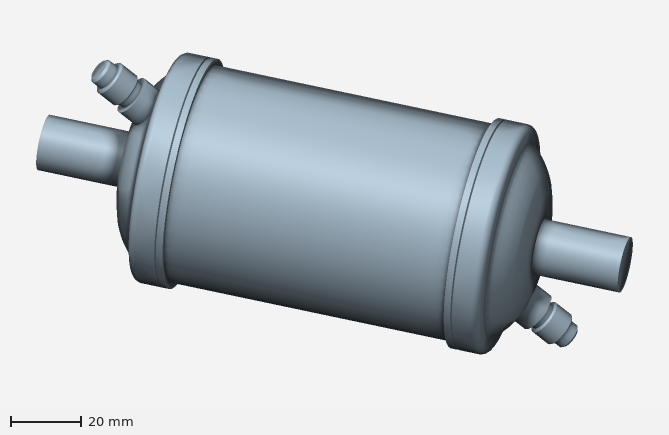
import cadquery as cq
import math

overall_length = 172.0
pipe_radius = 8.0
shell_radius = 31.6

cap_radius = 33.5
ring_start = 41.6
seam_position = 43.5
seam_width = 0.5
seam_depth = 0.5
shoulder_position = 52.1
shoulder_fillet = 2.2
dome_position = 60.7
dome_flat_radius = 10.8
dome_arc_radius = 22.4
dome_slope = math.radians(43)
cone_end_radius = 27.7
root_fillet = 3.3

fitting_angle = 40.0
fitting_tip_x = 69.7
fitting_tip_z = 36.6
tip_length = 3.6
tip_radius = 4.0
tip_chamfer = 0.7
thread_length = 6.9
thread_radius = 5.3
thread_chamfer = 0.5
neck_length = 2.0
neck_radius = 4.3
base_length = 10.3
base_radius = 6.0
base_across_flats = 11.0


def arc_point(center, radius, angle):
    """Point on a circle, with the angle measured from the X axis."""
    return (center[0] + radius * math.cos(angle), center[1] + radius * math.sin(angle))


def make_cap():
    """Revolve the +X end cap: seam ring, rounded shoulder and domed end."""
    seam_end = seam_position + seam_width
    shoulder_center = (shoulder_position - shoulder_fillet, cap_radius - shoulder_fillet)
    shoulder_middle = arc_point(shoulder_center, shoulder_fillet, math.radians(45))

    dome_center = (dome_position - dome_arc_radius, dome_flat_radius)
    dome_start = arc_point(dome_center, dome_arc_radius, dome_slope)
    dome_middle = arc_point(dome_center, dome_arc_radius, dome_slope / 2)

    cone_length = (cone_end_radius - dome_start[1]) * math.tan(dome_slope)
    cone_end = (dome_start[0] - cone_length, cone_end_radius)
    root_center = arc_point(cone_end, root_fillet, dome_slope)
    root_middle = arc_point(root_center, root_fillet, math.pi + dome_slope / 2)
    root_end = arc_point(root_center, root_fillet, math.pi)

    return (
        cq.Workplane("XY")
        .moveTo(0, 0)
        .lineTo(0, shell_radius)
        .lineTo(ring_start, shell_radius)
        .lineTo(ring_start, cap_radius)
        .lineTo(seam_position, cap_radius)
        .lineTo(seam_position + seam_width / 2, cap_radius - seam_depth)
        .lineTo(seam_end, cap_radius)
        .lineTo(shoulder_center[0], cap_radius)
        .threePointArc(shoulder_middle, (shoulder_position, shoulder_center[1]))
        .lineTo(*root_end)
        .threePointArc(root_middle, cone_end)
        .lineTo(*dome_start)
        .threePointArc(dome_middle, (dome_position, dome_flat_radius))
        .lineTo(dome_position, 0)
        .close()
        .revolve(360, (0, 0, 0), (1, 0, 0))
    )


def make_fitting():
    """Build the lower fitting at the +X end, working back from its tip into the cap."""
    lean = math.radians(fitting_angle)
    tip_plane = cq.Plane(
        origin=(fitting_tip_x, 0, -fitting_tip_z),
        xDir=(0, 1, 0),
        normal=(-math.cos(lean), 0, math.sin(lean)),
    )
    thread_start = tip_length
    neck_start = thread_start + thread_length
    base_start = neck_start + neck_length

    def section(start, length, radius):
        return cq.Workplane(tip_plane).workplane(offset=start).circle(radius).extrude(length)

    tip = section(0, tip_length, tip_radius)
    tip = tip.faces(cq.DirectionMinMaxSelector(tip_plane.zDir, False)).chamfer(tip_chamfer)
    thread = section(thread_start, thread_length, thread_radius)
    thread = thread.faces(cq.ParallelDirSelector(tip_plane.zDir)).chamfer(thread_chamfer)
    neck = section(neck_start, neck_length, neck_radius)
    flats = (
        cq.Workplane(tip_plane)
        .workplane(offset=base_start)
        .rect(2 * base_radius, base_across_flats)
        .extrude(base_length)
    )
    base = section(base_start, base_length, base_radius).intersect(flats)
    return tip.union(thread).union(neck).union(base)


pipe = cq.Workplane("YZ").circle(pipe_radius).extrude(overall_length / 2)
half_body = pipe.union(make_cap()).union(make_fitting())

other_half = half_body.rotate((0, 0, 0), (0, 1, 0), 180)
result = half_body.union(other_half)